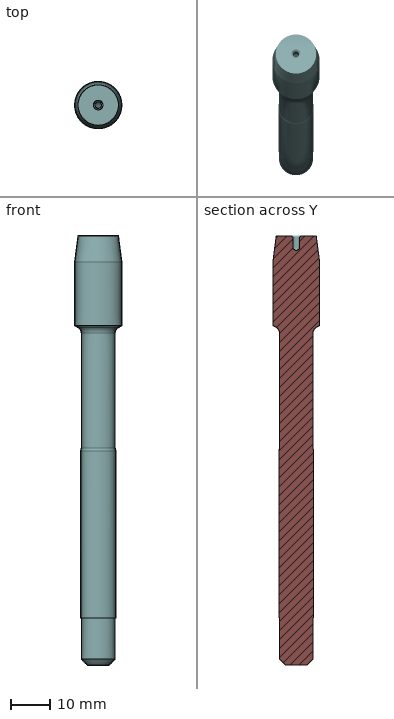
import cadquery as cq
import math

LENGTH = 110.0

HEAD_DIAMETER = 12.1
HEAD_TOP_DIAMETER = 10.3
HEAD_TAPER_LENGTH = 6.7
HEAD_BOTTOM_Z = 87.0
SHOULDER_ANGLE = math.radians(30.0)
NECK_FILLET_RADIUS = 1.6

NECK_DIAMETER = 8.7
SHANK_DIAMETER = 9.0
SHANK_TOP_Z = 54.9
SHANK_CHAMFER_HEIGHT = 0.8
TIP_DIAMETER = NECK_DIAMETER
TIP_LENGTH = 12.2
TIP_CHAMFER = 1.6

HOLE_DIAMETER = 1.6
HOLE_DEPTH = 3.3
COUNTERSINK_DIAMETER = 2.4
COUNTERSINK_DEPTH = (COUNTERSINK_DIAMETER - HOLE_DIAMETER) / 2
DRILL_POINT_ANGLE = math.radians(120.0)


def make_body():
    """Revolve the outer profile about Z."""
    head_r = HEAD_DIAMETER / 2
    neck_r = NECK_DIAMETER / 2
    shank_r = SHANK_DIAMETER / 2
    tip_r = TIP_DIAMETER / 2

    fillet_center_r = neck_r + NECK_FILLET_RADIUS
    slope_end_r = fillet_center_r - NECK_FILLET_RADIUS * math.sin(SHOULDER_ANGLE)
    slope_end_z = HEAD_BOTTOM_Z - (head_r - slope_end_r) * math.tan(SHOULDER_ANGLE)
    fillet_end_z = slope_end_z - NECK_FILLET_RADIUS * math.cos(SHOULDER_ANGLE)
    middle_angle = (math.pi / 2 - SHOULDER_ANGLE) / 2
    fillet_middle = (
        fillet_center_r - NECK_FILLET_RADIUS * math.cos(middle_angle),
        fillet_end_z + NECK_FILLET_RADIUS * math.sin(middle_angle),
    )

    profile = (
        cq.Workplane("XZ")
        .lineTo(tip_r - TIP_CHAMFER, 0)
        .lineTo(tip_r, TIP_CHAMFER)
        .lineTo(tip_r, TIP_LENGTH)
        .lineTo(shank_r, TIP_LENGTH)
        .lineTo(shank_r, SHANK_TOP_Z)
        .lineTo(neck_r, SHANK_TOP_Z + SHANK_CHAMFER_HEIGHT)
        .lineTo(neck_r, fillet_end_z)
        .threePointArc(fillet_middle, (slope_end_r, slope_end_z))
        .lineTo(head_r, HEAD_BOTTOM_Z)
        .lineTo(head_r, LENGTH - HEAD_TAPER_LENGTH)
        .lineTo(HEAD_TOP_DIAMETER / 2, LENGTH)
        .lineTo(0, LENGTH)
        .close()
    )
    return profile.revolve(360, (0, 0, 0), (0, 1, 0))


def make_center_hole():
    """Countersunk blind hole with a conical bottom, as a solid to cut away."""
    hole_r = HOLE_DIAMETER / 2
    point_depth = hole_r / math.tan(DRILL_POINT_ANGLE / 2)
    profile = (
        cq.Workplane("XZ")
        .moveTo(0, LENGTH)
        .lineTo(COUNTERSINK_DIAMETER / 2, LENGTH)
        .lineTo(hole_r, LENGTH - COUNTERSINK_DEPTH)
        .lineTo(hole_r, LENGTH - HOLE_DEPTH)
        .lineTo(0, LENGTH - HOLE_DEPTH - point_depth)
        .close()
    )
    return profile.revolve(360, (0, 0, 0), (0, 1, 0))


result = make_body().cut(make_center_hole())